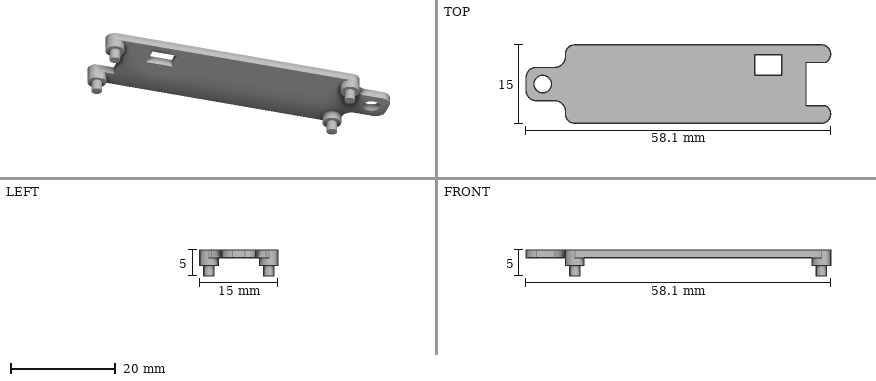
import cadquery as cq

total_length = 58.11
body_width = 15.0
plate_thickness = 1.5

boss_diameter = 3.6
boss_radius = boss_diameter / 2
boss_bottom_depth = 3.0
pin_diameter = 2.0
pin_bottom_depth = 5.0
post_spacing_x = 47.0
post_y = body_width / 2 - boss_radius
rear_post_x = total_length - boss_radius
front_post_x = rear_post_x - post_spacing_x

tab_width = 6.4
tab_corner_radius = 2.0
tab_root_radius = 2.0
tab_hole_diameter = 3.3
tab_hole_x = tab_width / 2
body_start_x = front_post_x - boss_radius

notch_depth = 4.7
notch_width = 8.2

window_length = 5.1
window_width = 3.85
window_center_x = 46.2
window_center_y = 3.65


def make_plate():
    """Tab and body with the top face at Z = 0, cut square at the rear posts, which round off that end."""
    half_body = body_width / 2
    half_tab = tab_width / 2
    root_start_x = body_start_x - tab_root_radius
    root_end_y = half_tab + tab_root_radius
    half_plate = (
        cq.Workplane("XY")
        .moveTo(0, 0)
        .lineTo(0, half_tab - tab_corner_radius)
        .radiusArc((tab_corner_radius, half_tab), tab_corner_radius)
        .lineTo(root_start_x, half_tab)
        .radiusArc((body_start_x, root_end_y), -tab_root_radius)
        .lineTo(body_start_x, post_y)
        .radiusArc((front_post_x, half_body), boss_radius)
        .lineTo(rear_post_x, half_body)
        .lineTo(rear_post_x, 0)
        .close()
        .extrude(-plate_thickness)
    )
    return half_plate.union(half_plate.mirror("XZ"))


def make_post(center_x, center_y):
    """Stepped post reaching up to the plate's top face; its boss forms the rounded corner there."""
    boss = cq.Workplane("XY").center(center_x, center_y).circle(boss_radius).extrude(-boss_bottom_depth)
    pin = cq.Workplane("XY").center(center_x, center_y).circle(pin_diameter / 2).extrude(-pin_bottom_depth)
    return boss.union(pin)


def through_box(length, width, center_x, center_y):
    """Cutter that passes through the full height of the part."""
    return cq.Workplane("XY").box(length, width, 2 * pin_bottom_depth).translate((center_x, center_y, 0))


notch = through_box(notch_depth, notch_width, total_length - notch_depth / 2, 0)
window = through_box(window_length, window_width, window_center_x, window_center_y)
tab_hole = (
    cq.Workplane("XY")
    .center(tab_hole_x, 0)
    .circle(tab_hole_diameter / 2)
    .extrude(-plate_thickness)
)

part = make_plate()
for post_x in (front_post_x, rear_post_x):
    for post_side in (-1, 1):
        part = part.union(make_post(post_x, post_side * post_y))

result = part.cut(notch).cut(window).cut(tab_hole).clean()